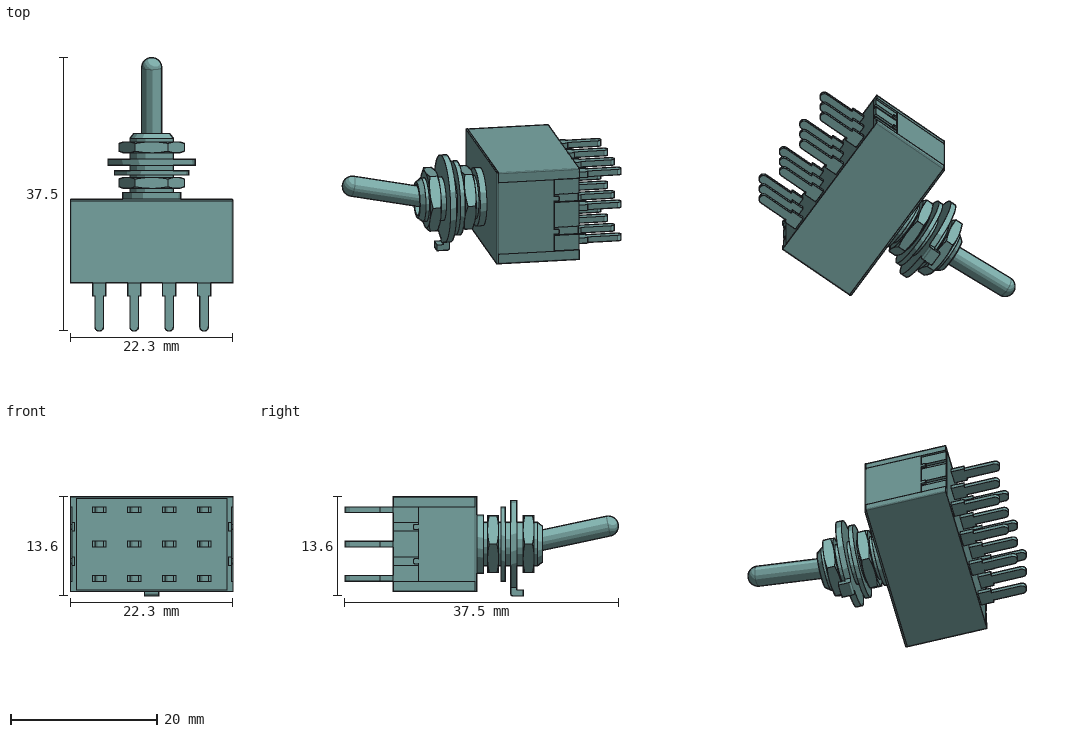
import cadquery as cq
import math


CASE_WIDTH = 22.3
CASE_LENGTH = 11.5
CASE_HEIGHT = 13.0
CASE_EDGE_RADIUS = 0.12
END_WALL = 0.82
SIDE_WALL = 0.24
SHEET = 0.24
LEG_LENGTH = 8.0
LEG_HEIGHT = 10.2

NOTCH_DEPTH = 0.6
NOTCH_HEIGHT = 1.15
TONGUE_LENGTH = 0.7
TONGUE_HEIGHT = 0.7
TONGUE_TIP_RADIUS = 0.2

PIN_COLUMNS = 4
PIN_ROWS = 3
PIN_COLUMN_PITCH = 4.79
PIN_ROW_PITCH = 4.7
PIN_LENGTH = 6.6
PIN_THICKNESS = 0.8
PIN_SHOULDER_WIDTH = 1.83
PIN_SHOULDER_LENGTH = 1.8
PIN_WIDTH = 1.2

NOTCH_ROWS = (-PIN_ROW_PITCH / 2, PIN_ROW_PITCH / 2)

BUSHING_DIAMETER = 6.0
BUSHING_LENGTH = 9.0
BUSHING_TIP_DIAMETER = 4.92
BUSHING_TIP_LENGTH = 0.7
BUSHING_BORE_DIAMETER = 4.2
FLANGE_DIAMETER = 8.0
FLANGE_THICKNESS = 0.92
LEVER_DIAMETER = 2.79
LEVER_TILT = 12.0
LEVER_PIVOT_Y = 6.4
LEVER_TIP_Y = 19.39

NUT_ACROSS_FLATS = 7.8
NUT_THICKNESS = 1.5
NUT_CHAMFER_ANGLE = 20.0
NUT_POSITIONS = (1.46, 6.33)
FLAT_WASHER_DIAMETER = 10.21
FLAT_WASHER_THICKNESS = 0.62
FLAT_WASHER_Y = 3.26
TAB_WASHER_DIAMETER = 12.0
TAB_WASHER_THICKNESS = 0.83
TAB_WASHER_Y = 4.62
TAB_WIDTH = 2.0
TAB_LENGTH = 1.75
TAB_REACH = 7.11
TAB_BEND_RADIUS = 0.3


def block(x_size, y_start, y_end, z_size, x=0, z=0):
    """Box between two Y positions, centred on x and z."""
    length = y_end - y_start
    return cq.Workplane("XY").box(x_size, length, z_size).translate((x, y_start + length / 2, z))


def disc(diameter, y_start, thickness):
    """Cylinder on the Y axis that starts at y_start and grows toward +Y."""
    plane = cq.Workplane("XZ", origin=(0, y_start, 0))
    return plane.circle(diameter / 2).extrude(-thickness)


def make_cavity_block():
    """Block that fills the case, open toward -Y."""
    return block(CASE_WIDTH - 2 * END_WALL, -CASE_LENGTH, -END_WALL, CASE_HEIGHT - 2 * SIDE_WALL)


def make_case():
    """Box open toward -Y, with a shallow channel and two notches in each end."""
    body = block(CASE_WIDTH, -CASE_LENGTH, -SHEET, CASE_HEIGHT)
    body = body.edges("|Y").fillet(CASE_EDGE_RADIUS)
    body = body.cut(make_cavity_block())
    for side in (-1, 1):
        channel_x = side * (CASE_WIDTH - SHEET) / 2
        notch_x = side * (CASE_WIDTH - NOTCH_DEPTH) / 2
        body = body.cut(block(SHEET, -CASE_LENGTH, -SHEET, LEG_HEIGHT, channel_x))
        for z in NOTCH_ROWS:
            body = body.cut(block(NOTCH_DEPTH, -CASE_LENGTH, -LEG_LENGTH, NOTCH_HEIGHT, notch_x, z))
    return body


def make_pin(x, z):
    """Flat pin with a wide shoulder at the base and a round tip."""
    tip_radius = PIN_WIDTH / 2
    root_y = -CASE_LENGTH
    shoulder_y = root_y - PIN_SHOULDER_LENGTH
    tip_y = root_y - PIN_LENGTH
    shoulder = block(PIN_SHOULDER_WIDTH, shoulder_y, root_y, PIN_THICKNESS, x, z)
    blade = block(PIN_WIDTH, tip_y + tip_radius, root_y, PIN_THICKNESS, x, z)
    tip = cq.Workplane("XY").circle(tip_radius).extrude(PIN_THICKNESS)
    tip = tip.translate((x, tip_y + tip_radius, z - PIN_THICKNESS / 2))
    return shoulder.union(blade).union(tip)


def make_base():
    """Base block that closes the case, with its grid of pins."""
    body = make_cavity_block()
    for column in range(PIN_COLUMNS):
        x = (column - (PIN_COLUMNS - 1) / 2) * PIN_COLUMN_PITCH
        for row in range(PIN_ROWS):
            z = (row - (PIN_ROWS - 1) / 2) * PIN_ROW_PITCH
            body = body.union(make_pin(x, z))
    return body


def make_bushing():
    """Flanged sleeve with a coned tip."""
    radius = BUSHING_DIAMETER / 2
    profile = (
        cq.Workplane("XY")
        .lineTo(FLANGE_DIAMETER / 2, 0)
        .lineTo(FLANGE_DIAMETER / 2, FLANGE_THICKNESS)
        .lineTo(radius, FLANGE_THICKNESS)
        .lineTo(radius, BUSHING_LENGTH - BUSHING_TIP_LENGTH)
        .lineTo(BUSHING_TIP_DIAMETER / 2, BUSHING_LENGTH)
        .lineTo(0, BUSHING_LENGTH)
        .close()
    )
    return profile.revolve(360, (0, 0, 0), (0, 1, 0))


def make_plate():
    """Sheet over the bushing side of the case, rounded where it meets the two ends."""
    half_width = CASE_WIDTH / 2
    return (
        cq.Workplane("XY", origin=(0, 0, -CASE_HEIGHT / 2))
        .moveTo(-half_width, -SHEET)
        .radiusArc((-half_width + SHEET, 0), SHEET)
        .lineTo(half_width - SHEET, 0)
        .radiusArc((half_width, -SHEET), SHEET)
        .close()
        .extrude(CASE_HEIGHT)
    )


def make_leg(side):
    """Strip that lies in the channel of one case end, with a tongue over each notch."""
    x = side * (CASE_WIDTH - SHEET) / 2
    leg = block(SHEET, -LEG_LENGTH, -SHEET, LEG_HEIGHT, x)
    for z in NOTCH_ROWS:
        tongue = block(SHEET, -LEG_LENGTH - TONGUE_LENGTH, -LEG_LENGTH, TONGUE_HEIGHT, x, z)
        leg = leg.union(tongue.edges("|X and <Y").fillet(TONGUE_TIP_RADIUS))
    return leg


def make_frame():
    """Sheet frame in one piece with the bushing, which has a blind bore for the lever."""
    body = make_plate().union(make_bushing())
    for side in (-1, 1):
        body = body.union(make_leg(side))
    bore_depth = BUSHING_LENGTH - LEVER_PIVOT_Y
    return body.cut(disc(BUSHING_BORE_DIAMETER, LEVER_PIVOT_Y, bore_depth))


def make_lever():
    """Tilted round-tipped bar that stands on the floor of the bushing bore."""
    radius = LEVER_DIAMETER / 2
    tilt = math.radians(LEVER_TILT)
    reach = (LEVER_TIP_Y - radius - LEVER_PIVOT_Y) / math.cos(tilt)
    bar = disc(LEVER_DIAMETER, -radius, reach + radius)
    bar = bar.union(cq.Workplane("XY").sphere(radius).translate((0, reach, 0)))
    bar = bar.rotate((0, 0, 0), (1, 0, 0), LEVER_TILT).translate((0, LEVER_PIVOT_Y, 0))
    trim_size = 2 * LEVER_DIAMETER
    below_floor = block(trim_size, LEVER_PIVOT_Y - LEVER_DIAMETER, LEVER_PIVOT_Y, trim_size)
    return bar.cut(below_floor)


def make_nut(y_start):
    """Hexagon nut with corners on +X and -X, turned down on both faces."""
    corner_radius = NUT_ACROSS_FLATS / math.sqrt(3)
    plane = cq.Workplane("XZ", origin=(0, y_start, 0))
    hexagon = plane.polygon(6, 2 * corner_radius).extrude(-NUT_THICKNESS)
    face_radius = NUT_ACROSS_FLATS / 2
    drop = (corner_radius - face_radius) * math.tan(math.radians(NUT_CHAMFER_ANGLE))
    envelope = (
        cq.Workplane("XY", origin=(0, y_start, 0))
        .lineTo(face_radius, 0)
        .lineTo(corner_radius, drop)
        .lineTo(corner_radius, NUT_THICKNESS - drop)
        .lineTo(face_radius, NUT_THICKNESS)
        .lineTo(0, NUT_THICKNESS)
        .close()
        .revolve(360, (0, 0, 0), (0, 1, 0))
    )
    nut = hexagon.intersect(envelope)
    return nut.cut(disc(BUSHING_DIAMETER, y_start, NUT_THICKNESS))


def make_flat_washer():
    washer = disc(FLAT_WASHER_DIAMETER, FLAT_WASHER_Y, FLAT_WASHER_THICKNESS)
    return washer.cut(disc(BUSHING_DIAMETER, FLAT_WASHER_Y, FLAT_WASHER_THICKNESS))


def make_tab_washer():
    """Washer with a locating tab on the -Z side, bent toward +Y."""
    y_start = TAB_WASHER_Y
    y_end = y_start + TAB_WASHER_THICKNESS
    stem_top = -BUSHING_DIAMETER / 2
    tab = (
        cq.Workplane("YZ", origin=(-TAB_WIDTH / 2, 0, 0))
        .moveTo(y_start, stem_top)
        .lineTo(y_start, -TAB_REACH + TAB_BEND_RADIUS)
        .radiusArc((y_start + TAB_BEND_RADIUS, -TAB_REACH), -TAB_BEND_RADIUS)
        .lineTo(y_start + TAB_LENGTH, -TAB_REACH)
        .lineTo(y_start + TAB_LENGTH, -TAB_REACH + TAB_WASHER_THICKNESS)
        .lineTo(y_end, -TAB_REACH + TAB_WASHER_THICKNESS)
        .lineTo(y_end, stem_top)
        .close()
        .extrude(TAB_WIDTH)
    )
    washer = disc(TAB_WASHER_DIAMETER, y_start, TAB_WASHER_THICKNESS).union(tab)
    return washer.cut(disc(BUSHING_DIAMETER, y_start, TAB_WASHER_THICKNESS))


case = make_case()
base = make_base()
frame = make_frame()
lever = make_lever()
nuts = [make_nut(y_start) for y_start in NUT_POSITIONS]
flat_washer = make_flat_washer()
tab_washer = make_tab_washer()

result = cq.Compound.makeCompound(
    [
        case.val(),
        base.val(),
        frame.val(),
        lever.val(),
        *[nut.val() for nut in nuts],
        flat_washer.val(),
        tab_washer.val(),
    ]
)